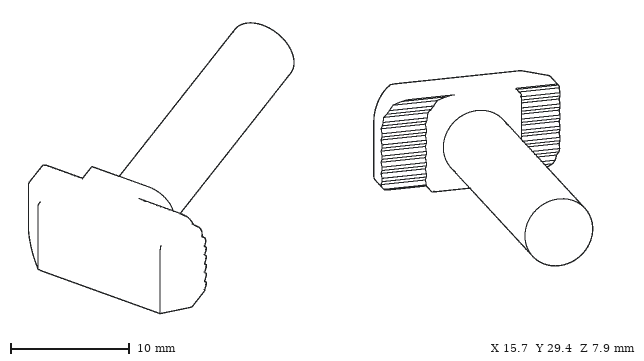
import cadquery as cq

total_length = 29.35
head_width = 15.7
head_height = 7.9
head_depth = 4.5
collar_length = 1.75
shank_diameter = 6.0

turning_radius = 2.5
edge_radius = 0.45
collar_edge_radius = 0.18
bevel = 2.03

tooth_pitch = 1.0
groove_depth = 0.25
groove_width = 0.7

front_y = -total_length / 2
clamp_y = front_y + head_depth
shoulder_y = clamp_y + collar_length
tip_y = total_length / 2


def round_turning_corners(block, width):
    """Round the upper +X and lower -X edges of a block centred on the Y axis."""
    corners = (
        cq.Vector(width / 2, 0, head_height / 2),
        cq.Vector(-width / 2, 0, -head_height / 2),
    )
    for corner in corners:
        near_corner = cq.selectors.NearestToPointSelector(
            (corner.x, block.val().Center().y, corner.z)
        )
        block = block.edges("|Y").edges(near_corner).fillet(turning_radius)
    return block


def make_head():
    half_width = head_width / 2
    outline = [
        (-half_width, clamp_y),
        (-half_width, front_y + bevel),
        (-half_width + bevel, front_y),
        (half_width - bevel, front_y),
        (half_width, front_y + bevel),
        (half_width, clamp_y),
    ]
    head = (
        cq.Workplane("XY")
        .workplane(offset=-head_height / 2)
        .polyline(outline)
        .close()
        .extrude(head_height)
    )
    head = round_turning_corners(head, head_width)
    clamp_edges = head.faces(">Y").edges().vals()
    sharp_edges = head.faces("<Y").edges("|Z").vals()
    tangent_edges = head.faces("%CYLINDER").edges("|Y").vals()
    kept = clamp_edges + sharp_edges + tangent_edges
    rounded = [e for e in head.edges().vals() if not any(e.isSame(k) for k in kept)]
    return head.newObject(rounded).fillet(edge_radius)


def cut_serrations(head):
    groove_count = round(head_height / tooth_pitch)
    for index in range(groove_count):
        valley_z = (index - (groove_count - 1) / 2) * tooth_pitch
        groove = (
            cq.Workplane("YZ")
            .polyline([
                (clamp_y, valley_z - groove_width / 2),
                (clamp_y - groove_depth, valley_z),
                (clamp_y, valley_z + groove_width / 2),
            ])
            .close()
            .extrude(head_width / 2, both=True)
        )
        head = head.cut(groove)
    return head


def make_collar():
    root_y = clamp_y - groove_depth
    length = shoulder_y - root_y
    collar = cq.Workplane("XY").box(head_height, length, head_height)
    collar = collar.translate((0, (root_y + shoulder_y) / 2, 0))
    collar = round_turning_corners(collar, head_height)
    return collar.faces(">Y").edges().fillet(collar_edge_radius)


def make_shank():
    return (
        cq.Workplane("XZ", origin=(0, shoulder_y, 0))
        .circle(shank_diameter / 2)
        .extrude(shoulder_y - tip_y)
    )


result = cut_serrations(make_head()).union(make_collar()).union(make_shank())